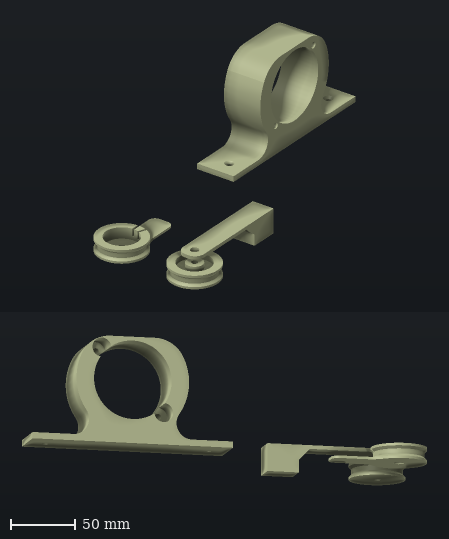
import cadquery as cq
import math

bracket_width = 35
base_length = 160
base_thickness = 5
bracket_height = 84
bore_diameter = 62
bore_height = 50
ring_radius = 45
shoulder_radius = 25
foot_fillet = 12.5
screw_circle_radius = 35
screw_hole_diameter = 5.5
screw_recess_diameter = 15
screw_recess_depth = 20
mount_hole_diameter = 4.5
mount_sink_diameter = 8.5
mount_sink_angle = 90
mount_hole_x = 20
mount_hole_spacing = 130

wheel_y = -220
tab_wheel_x = 30
hub_wheel_x = 100
wheel_radius = 22
groove_radius = 20
wheel_height = 12
lower_rim = 2
upper_rim = 2
groove_flank = 2
groove_bottom = lower_rim + groove_flank
groove_top = wheel_height - upper_rim - groove_flank
recess_diameter = 30
tab_wheel_floor = lower_rim

tab_wheel_bore = 8
tab_width = 20
tab_reach = 55
tab_thickness = lower_rim
tab_corner_radius = 6
tab_blend_radius = 18
slot_width = 2
slot_floor = 5
slot_angles = (0, 22.5)

hub_wheel_floor = 7
hub_diameter = 15
hub_bore = 5.5

arm_width = 20
arm_bottom = 1
arm_top = 23
arm_plate_thickness = 3
arm_tip_overhang = 10
arm_back_overhang = 90
arm_block_length = 25
arm_brace = 9
arm_corner_radius = 8.5
arm_hole_diameter = 7.5


def point_on_arc(center, radius, angle):
    """Point on a circle at an angle in radians."""
    return (center[0] + radius * math.cos(angle), center[1] + radius * math.sin(angle))


def bracket_outline():
    """Closed outline in (Y, Z): base, foot fillets, ring, shoulders and flat top."""
    half_base = base_length / 2
    ring_center = (0, bore_height)

    foot_z = base_thickness + foot_fillet
    foot_reach = ring_radius + foot_fillet
    foot_y = math.sqrt(foot_reach**2 - (bore_height - foot_z) ** 2)
    foot_center = (foot_y, foot_z)
    foot_angle = math.atan2(foot_z - bore_height, foot_y)
    foot_start_angle = -math.pi / 2
    foot_end_angle = foot_angle - math.pi
    foot_mid_angle = (foot_start_angle + foot_end_angle) / 2

    shoulder_z = bracket_height - shoulder_radius
    shoulder_reach = ring_radius - shoulder_radius
    shoulder_y = math.sqrt(shoulder_reach**2 - (shoulder_z - bore_height) ** 2)
    shoulder_center = (shoulder_y, shoulder_z)
    shoulder_angle = math.atan2(shoulder_z - bore_height, shoulder_y)
    shoulder_mid_angle = (shoulder_angle + math.pi / 2) / 2

    ring_start = point_on_arc(ring_center, ring_radius, foot_angle)
    ring_mid = point_on_arc(ring_center, ring_radius, (foot_angle + shoulder_angle) / 2)
    ring_end = point_on_arc(ring_center, ring_radius, shoulder_angle)
    foot_mid = point_on_arc(foot_center, foot_fillet, foot_mid_angle)
    shoulder_mid = point_on_arc(shoulder_center, shoulder_radius, shoulder_mid_angle)
    return (
        cq.Workplane("YZ")
        .moveTo(0, 0)
        .lineTo(half_base, 0)
        .lineTo(half_base, base_thickness)
        .lineTo(foot_y, base_thickness)
        .threePointArc(foot_mid, ring_start)
        .threePointArc(ring_mid, ring_end)
        .threePointArc(shoulder_mid, (shoulder_y, bracket_height))
        .lineTo(0, bracket_height)
        .mirrorY()
    )


def make_bracket():
    """Ring on a flat base, with two recessed screw holes and two mounting holes."""
    body = bracket_outline().extrude(bracket_width)
    bore = cq.Workplane("YZ").center(0, bore_height).circle(bore_diameter / 2).extrude(bracket_width)
    body = body.cut(bore)

    offset = screw_circle_radius / math.sqrt(2)
    screws = cq.Workplane("YZ").pushPoints(
        [(offset, bore_height + offset), (-offset, bore_height - offset)]
    )
    body = body.cut(screws.circle(screw_hole_diameter / 2).extrude(bracket_width))
    body = body.cut(screws.circle(screw_recess_diameter / 2).extrude(screw_recess_depth))

    return (
        body.copyWorkplane(cq.Workplane("XY", origin=(mount_hole_x, 0, base_thickness)))
        .pushPoints([(0, -mount_hole_spacing / 2), (0, mount_hole_spacing / 2)])
        .cskHole(mount_hole_diameter, mount_sink_diameter, mount_sink_angle, base_thickness)
    )


def make_grooved_wheel(wheel_floor):
    """Wheel on the Z axis with a rim groove and a round recess open to the top."""
    profile = [
        (0, 0),
        (wheel_radius, 0),
        (wheel_radius, lower_rim),
        (groove_radius, groove_bottom),
        (groove_radius, groove_top),
        (wheel_radius, wheel_height - upper_rim),
        (wheel_radius, wheel_height),
        (recess_diameter / 2, wheel_height),
        (recess_diameter / 2, wheel_floor),
        (0, wheel_floor),
    ]
    return cq.Workplane("XZ").polyline(profile).close().revolve(360, (0, 0, 0), (0, 1, 0))


def make_tab():
    """Flat finger tab along +Y that runs into the wheel rim through two concave blends."""
    half_width = tab_width / 2
    blend_x = half_width + tab_blend_radius
    blend_reach = wheel_radius + tab_blend_radius
    blend_y = math.sqrt(blend_reach**2 - blend_x**2)
    rim_share = wheel_radius / blend_reach
    rim_point = (blend_x * rim_share, blend_y * rim_share)
    blend_mid_angle = math.pi + math.atan2(blend_y, blend_x) / 2
    blend_mid = point_on_arc((blend_x, blend_y), tab_blend_radius, blend_mid_angle)
    tab = (
        cq.Workplane("XY")
        .lineTo(*rim_point)
        .threePointArc(blend_mid, (half_width, blend_y))
        .lineTo(half_width, tab_reach)
        .lineTo(0, tab_reach)
        .mirrorY()
        .extrude(tab_thickness)
    )
    return tab.edges("|Z and >Y").fillet(tab_corner_radius)


def make_tab_wheel():
    """Grooved wheel with a finger tab, a plain bore and two radial slots in its rim."""
    body = make_grooved_wheel(tab_wheel_floor).union(make_tab())
    body = body.cut(cq.Workplane("XY").circle(tab_wheel_bore / 2).extrude(wheel_height))
    slot_length = wheel_radius + slot_width
    slot = (
        cq.Workplane("XY", origin=(0, 0, slot_floor))
        .rect(slot_width, slot_length)
        .extrude(wheel_height - slot_floor)
        .translate((0, slot_length / 2, 0))
    )
    for angle in slot_angles:
        body = body.cut(slot.rotate((0, 0, 0), (0, 0, 1), -angle))
    return body.translate((tab_wheel_x, wheel_y, 0))


def make_hub_wheel():
    """Grooved wheel with a bored hub standing in its recess."""
    hub = cq.Workplane("XY").circle(hub_diameter / 2).extrude(wheel_height)
    bore = cq.Workplane("XY").circle(hub_bore / 2).extrude(wheel_height)
    return make_grooved_wheel(hub_wheel_floor).union(hub).cut(bore).translate((hub_wheel_x, wheel_y, 0))


def make_arm():
    """Thin plate over the hub wheel with a braced block under its far end."""
    plate_bottom = arm_top - arm_plate_thickness
    block_front = arm_back_overhang - arm_block_length
    profile = [
        (-arm_tip_overhang, arm_top),
        (arm_back_overhang, arm_top),
        (arm_back_overhang, arm_bottom),
        (block_front, arm_bottom),
        (block_front, plate_bottom - arm_brace),
        (block_front - arm_brace, plate_bottom),
        (-arm_tip_overhang, plate_bottom),
    ]
    body = cq.Workplane("YZ").polyline(profile).close().extrude(arm_width / 2, both=True)
    body = body.edges("|Z and <Y").fillet(arm_corner_radius)
    hole = (
        cq.Workplane("XY", origin=(0, 0, plate_bottom))
        .circle(arm_hole_diameter / 2)
        .extrude(arm_plate_thickness)
    )
    return body.cut(hole).translate((hub_wheel_x, wheel_y, 0))


bracket = make_bracket()
tab_wheel = make_tab_wheel()
hub_wheel = make_hub_wheel()
arm = make_arm()

result = cq.Compound.makeCompound([bracket.val(), tab_wheel.val(), hub_wheel.val(), arm.val()])